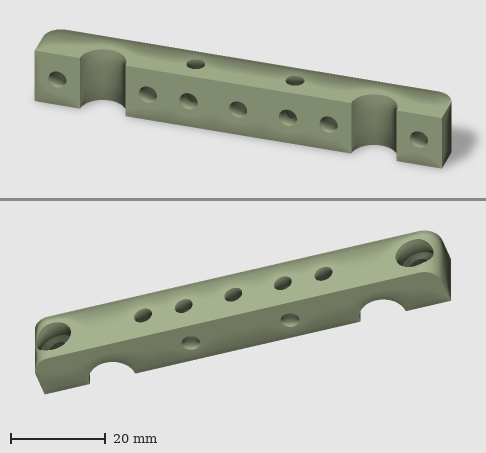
import cadquery as cq

length = 90.0
depth = 10.0
height = 12.5
back_corner_radius = 4.0

groove_diameter = 10.0
groove_offset = 30.0

hole_diameter = 4.0
end_hole_offset = 40.0
outer_hole_offset = 20.0
inner_hole_offset = 11.0

counterbore_diameter = 8.0
counterbore_depth = 4.0

front_y = -depth / 2


def mirrored_pair(offset):
    return [-offset, offset]


def upright_cylinders(diameter, x_positions, y):
    """Vertical cutters spanning the full height of the bar."""
    points = [(x, y) for x in x_positions]
    return (
        cq.Workplane("XY", origin=(0, 0, -height / 2))
        .pushPoints(points)
        .circle(diameter / 2)
        .extrude(height)
    )


def cross_cylinders(diameter, x_positions, cut_depth):
    """Mid-height cutters running forward from the back face."""
    points = [(x, 0) for x in x_positions]
    return (
        cq.Workplane("XZ", origin=(0, depth / 2, 0))
        .pushPoints(points)
        .circle(diameter / 2)
        .extrude(cut_depth)
    )


bar = (
    cq.Workplane("XY")
    .box(length, depth, height)
    .edges("|Z and >Y")
    .fillet(back_corner_radius)
)

grooves = upright_cylinders(groove_diameter, mirrored_pair(groove_offset), front_y)
upright_holes = upright_cylinders(hole_diameter, mirrored_pair(inner_hole_offset), 0)

cross_hole_positions = [0]
for offset in (inner_hole_offset, outer_hole_offset, end_hole_offset):
    cross_hole_positions += mirrored_pair(offset)
cross_holes = cross_cylinders(hole_diameter, cross_hole_positions, depth)
counterbores = cross_cylinders(counterbore_diameter, mirrored_pair(end_hole_offset), counterbore_depth)

result = bar.cut(grooves).cut(upright_holes).cut(cross_holes).cut(counterbores)